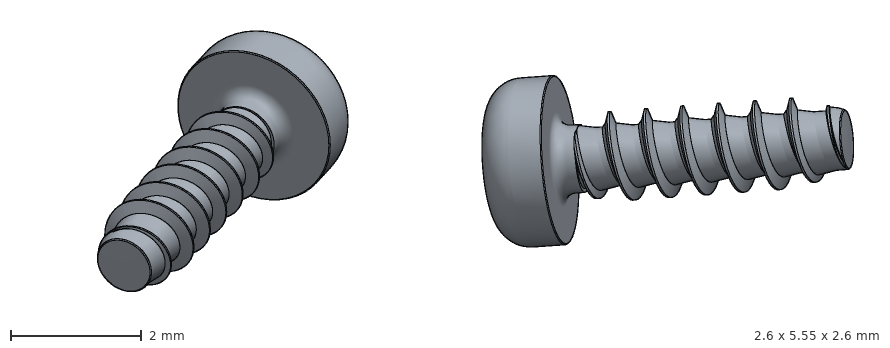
import cadquery as cq
import math


total_length = 5.55
head_height = 1.04
tip_position = total_length - head_height

head_radius = 1.3
head_round = 0.52
head_edge_chamfer = 0.015

neck_radius = 0.52
neck_length = 0.35
neck_fillet = 0.2

tip_cone_height = 0.01
tip_chamfer = 0.015

core_radius = 0.46
crest_radius = 0.695
first_crest = 0.655
last_crest = 3.5
turns_between_crests = 5
pitch = (last_crest - first_crest) / turns_between_crests
thread_start = 0.195
run_in_end = 0.86
run_in_slope = 0.2
run_out_start = 3.7
run_out_slope = 0.29
thread_end = 4.51

root_radius = 0.415
head_side_root = 0.135
head_side_bend = 0.08
head_side_bend_radius = 0.53
crest_half_width = 0.015
tip_side_root = 0.09
tip_side_root_radius = 0.505

core_cone_start = 0.03
core_cone_end = 0.34
core_cone_root_depth = 0.005

envelope_clearance = 0.055


def make_head_and_neck():
    """Pan head with a rounded top, and the filleted neck below it."""
    diagonal = 0.5 ** 0.5
    round_middle = (
        head_radius - head_round * (1 - diagonal),
        -head_height + head_round * (1 - diagonal),
    )
    fillet_middle = (
        neck_radius + neck_fillet * (1 - diagonal),
        neck_fillet * (1 - diagonal),
    )
    return (
        cq.Workplane("XZ")
        .moveTo(0, -head_height)
        .lineTo(head_radius - head_round, -head_height)
        .threePointArc(round_middle, (head_radius, -head_height + head_round))
        .lineTo(head_radius, -head_edge_chamfer)
        .lineTo(head_radius - head_edge_chamfer, 0)
        .lineTo(neck_radius + neck_fillet, 0)
        .threePointArc(fillet_middle, (neck_radius, neck_fillet))
        .lineTo(neck_radius, neck_length)
        .lineTo(0, neck_length)
        .close()
        .revolve(360, (0, 0, 0), (0, 1, 0))
    )


def make_ridge(section, start, end, slope=0.0):
    """Helical ridge between two axial positions.

    The section lists (radius, axial offset) corners as they are at the start; all radii
    change by slope per unit of length. Faces are ruled between the helices of the corners.
    """
    height = end - start
    cylinder_angle = 360
    cone_angle = math.degrees(math.atan(slope)) if slope else cylinder_angle
    slant = math.hypot(1, slope)
    helices = [
        cq.Wire.makeHelix(
            pitch * slant, height * slant, radius, center=cq.Vector(0, 0, start + offset), angle=cone_angle
        )
        for radius, offset in section
    ]
    faces = []
    for i in range(len(helices)):
        faces += cq.Face.makeRuledSurface(helices[i - 1], helices[i]).Faces()
    for end_parameter in (0, 1):
        corners = [helix.positionAt(end_parameter) for helix in helices]
        faces.append(cq.Face.makeFromWires(cq.Wire.makePolygon(corners, close=True)))
    ridge = cq.Workplane(cq.Solid.makeSolid(cq.Shell.makeShell(faces)))
    start_angle = 360 * (start - first_crest) / pitch
    return ridge.rotate((0, 0, 0), (0, 0, 1), start_angle)


def thread_section(radius_change=0.0):
    """Corners of the thread, its sides extended straight down to the buried root."""
    head_slope = (head_side_root - head_side_bend) / (head_side_bend_radius - core_radius)
    tip_slope = (tip_side_root - crest_half_width) / (crest_radius - tip_side_root_radius)
    corners = [
        (root_radius, -head_side_root - head_slope * (core_radius - root_radius)),
        (head_side_bend_radius, -head_side_bend),
        (crest_radius, -crest_half_width),
        (crest_radius, crest_half_width),
        (root_radius, tip_side_root + tip_slope * (tip_side_root_radius - root_radius)),
    ]
    return [(radius + radius_change, offset) for radius, offset in corners]


def core_cone_section():
    """Corners of the slow cone, extended into the thread at one end and the core at the other."""
    run = (core_cone_end - tip_side_root) / (tip_side_root_radius - core_radius)
    start_radius = tip_side_root_radius + (tip_side_root - core_cone_start) / run
    return [
        (root_radius, core_cone_start),
        (start_radius, core_cone_start),
        (core_radius - core_cone_root_depth, core_cone_end + run * core_cone_root_depth),
        (root_radius, core_cone_end),
    ]


def make_envelope():
    """Solid of revolution that trims the thread at the neck and at the tip."""
    rim = tip_position - tip_cone_height
    envelope_radius = crest_radius + envelope_clearance
    outline = [
        (0, neck_length),
        (envelope_radius, neck_length),
        (envelope_radius, run_out_start),
        (core_radius, rim - tip_chamfer),
        (core_radius - tip_chamfer, rim),
        (0, tip_position),
    ]
    return cq.Workplane("XZ").polyline(outline).close().revolve(360, (0, 0, 0), (0, 1, 0))


def make_threaded_shank():
    run_in_gain = run_in_slope * (run_in_end - thread_start)
    ridges = [
        make_ridge(core_cone_section(), first_crest - pitch, thread_end),
        make_ridge(thread_section(-run_in_gain), thread_start, run_in_end, run_in_slope),
        make_ridge(thread_section(), run_in_end, run_out_start),
        make_ridge(thread_section(), run_out_start, thread_end, -run_out_slope),
    ]
    shank = cq.Workplane("XY").circle(core_radius).extrude(tip_position)
    for ridge in ridges:
        shank = shank.union(ridge)
    return shank.intersect(make_envelope())


screw = make_head_and_neck().union(make_threaded_shank())
screw_along_y = screw.rotate((0, 0, 0), (1, 0, 0), 90)
result = cq.Workplane(screw_along_y.solids().val())